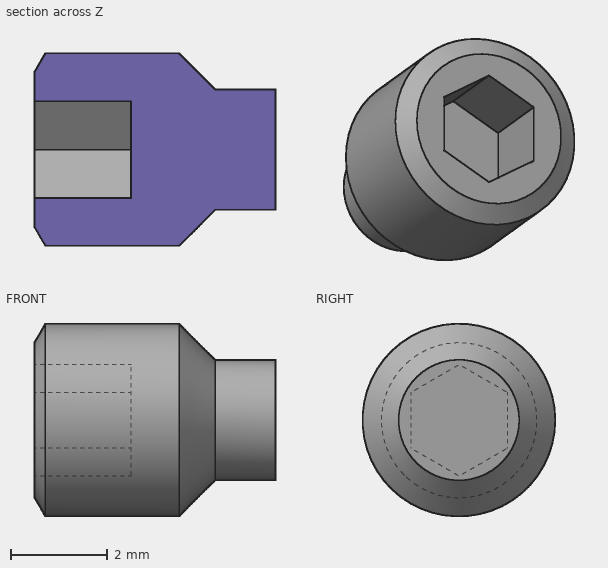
import cadquery as cq
import math

total_length = 5.0
body_diameter = 4.0
point_diameter = 2.5
point_length = 1.25
taper_angle = 45.0

face_diameter = 3.22
chamfer_angle = 30.0

socket_sides = 6
socket_across_flats = 2.0
socket_depth = 2.0
corner_rotation = 90.0

body_radius = body_diameter / 2
point_radius = point_diameter / 2
face_radius = face_diameter / 2
chamfer_length = (body_radius - face_radius) * math.tan(math.radians(chamfer_angle))
taper_end = total_length - point_length
taper_length = (body_radius - point_radius) / math.tan(math.radians(taper_angle))
body_end = taper_end - taper_length
socket_across_corners = socket_across_flats / math.cos(math.pi / socket_sides)


def make_body():
    """Revolve the half profile of the screw about the X axis."""
    return (
        cq.Workplane("XY")
        .moveTo(0, 0)
        .lineTo(0, face_radius)
        .lineTo(chamfer_length, body_radius)
        .lineTo(body_end, body_radius)
        .lineTo(taper_end, point_radius)
        .lineTo(total_length, point_radius)
        .lineTo(total_length, 0)
        .close()
        .revolve(360, (0, 0, 0), (1, 0, 0))
    )


def make_socket():
    """Hexagonal prism with flats facing +/-Y and corners on +/-Z."""
    return (
        cq.Workplane("YZ")
        .transformed(rotate=(0, 0, corner_rotation))
        .polygon(socket_sides, socket_across_corners)
        .extrude(socket_depth)
    )


result = make_body().cut(make_socket())